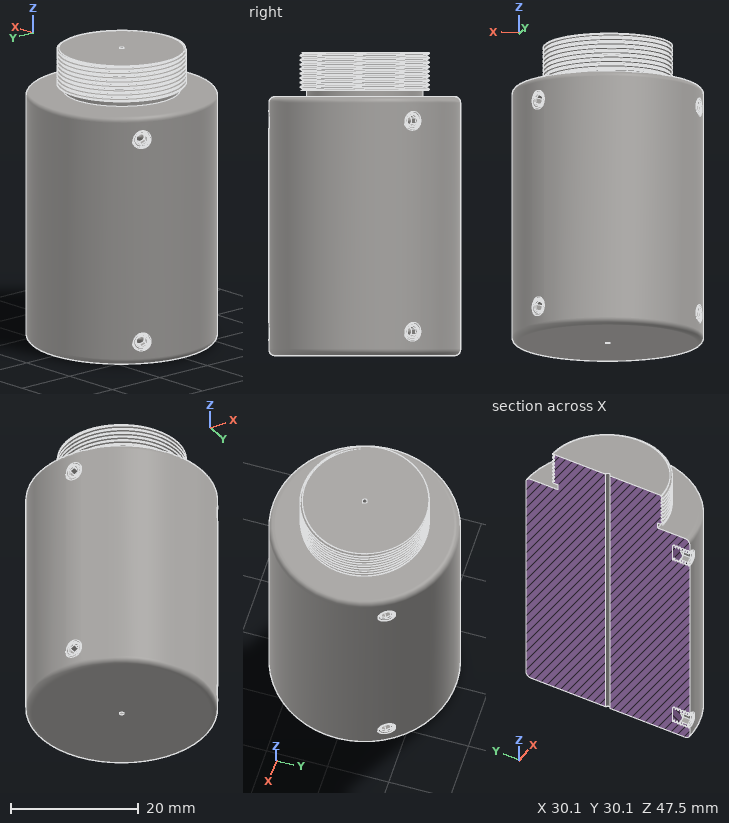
import cadquery as cq
import math

BARREL_DIA = 30.05
BARREL_HEIGHT = 40.6
EDGE_RADIUS = 1.0
BORE_DIA = 0.75

TOTAL_HEIGHT = 47.5
NECK_THREAD_LENGTH = 6.0
NECK_RELIEF_DIA = 18.3
NECK_ROOT_DIA = 19.5
NECK_CREST_DIA = 20.3
NECK_TURNS = 8.5
NECK_PITCH = NECK_THREAD_LENGTH / NECK_TURNS
NECK_CREST_ANGLE = 160.0
NECK_THREAD_Z = TOTAL_HEIGHT - NECK_THREAD_LENGTH

SCREW_ANGLES = (-90.0, 30.0, 150.0)
ROW_OFFSET = 3.8
SCREW_ROWS = (ROW_OFFSET, BARREL_HEIGHT - ROW_OFFSET)
SCREW_LENGTH = 3.0
SCREW_RECESS = 0.2
SCREW_ROOT_DIA = 2.35
SCREW_CREST_DIA = 3.0
SCREW_TURNS = 6
SCREW_PITCH = SCREW_LENGTH / SCREW_TURNS
TAPPED_HOLE_DIA = 2.5
SOCKET_WIDTH = 1.5
SOCKET_DEPTH = 1.5
SOCKET_TURN = 30.0
SOCKET_CONE_HEIGHT = 0.45
COUNTERSINK_DIA = 1.95

CREST_WIDTH_RATIO = 1 / 8
FLANK_ANGLE = math.radians(30)
ROOT_EMBED = 0.05

SCREW_SEAT_RADIUS = BARREL_DIA / 2 - SCREW_RECESS - SCREW_LENGTH


def cylinder(diameter, height, base_z=0.0):
    return cq.Workplane("XY").workplane(offset=base_z).circle(diameter / 2).extrude(height)


def thread_ridge(root_dia, crest_dia, pitch, length, start_z=0.0):
    """Right-handed helical ridge, sunk slightly into its core, that starts at start_z on the +X side."""
    inner = root_dia / 2 - ROOT_EMBED
    crest = crest_dia / 2
    half_crest = pitch * CREST_WIDTH_RATIO / 2
    half_base = half_crest + (crest - inner) * math.tan(FLANK_ANGLE)
    helix = cq.Workplane(cq.Wire.makeHelix(pitch, length, inner))
    profile = cq.Workplane("XZ").polyline([
        (inner, -half_base),
        (crest, -half_crest),
        (crest, half_crest),
        (inner, half_base),
    ]).close()
    return profile.sweep(helix, isFrenet=True).translate((0, 0, start_z))


def threaded_rod(core_dia, root_dia, crest_dia, pitch, length):
    """Core from z = 0 to length with a thread cut off flush with both ends."""
    core = cylinder(core_dia, length + 4 * pitch, -2 * pitch)
    ridge = thread_ridge(root_dia, crest_dia, pitch, length + 2 * pitch, -pitch)
    envelope = cylinder(crest_dia + pitch, length)
    return core.union(ridge).intersect(envelope)


def neck_thread():
    """Threaded end of the neck, turned so that its crest meets the top face at the crest angle."""
    rod = threaded_rod(NECK_ROOT_DIA, NECK_ROOT_DIA, NECK_CREST_DIA, NECK_PITCH, NECK_THREAD_LENGTH)
    turn_angle = NECK_CREST_ANGLE - 360 * NECK_TURNS
    return rod.rotate((0, 0, 0), (0, 0, 1), turn_angle).translate((0, 0, NECK_THREAD_Z))


def place_radially(shape, angle, row_z):
    """Turn a shape built along +Z so that it points outwards at the given angle and height."""
    return (
        shape.translate((0, 0, SCREW_SEAT_RADIUS))
        .rotate((0, 0, 0), (0, 1, 0), 90)
        .rotate((0, 0, 0), (0, 0, 1), angle)
        .translate((0, 0, row_z))
    )


def tapped_hole():
    """Cutter for one blind tapped hole, with its floor at z = 0."""
    depth = SCREW_LENGTH + SCREW_PITCH
    return threaded_rod(TAPPED_HOLE_DIA, SCREW_ROOT_DIA, SCREW_CREST_DIA, SCREW_PITCH, depth)


def make_set_screw():
    """Headless screw along +Z from z = 0, with a countersunk hexagon socket that has a pointed floor."""
    screw = threaded_rod(SCREW_ROOT_DIA, SCREW_ROOT_DIA, SCREW_CREST_DIA, SCREW_PITCH, SCREW_LENGTH)
    floor_z = SCREW_LENGTH - SOCKET_DEPTH
    socket = (
        cq.Workplane("XY").workplane(offset=floor_z)
        .polygon(6, SOCKET_WIDTH, circumscribed=True).extrude(SOCKET_DEPTH)
        .rotate((0, 0, 0), (0, 0, 1), SOCKET_TURN)
    )
    floor_cone = cq.Workplane(
        cq.Solid.makeCone(SOCKET_WIDTH / 2, 0, SOCKET_CONE_HEIGHT)
    ).translate((0, 0, floor_z))
    countersink_radius = COUNTERSINK_DIA / 2
    countersink = cq.Workplane(
        cq.Solid.makeCone(0, countersink_radius, countersink_radius)
    ).translate((0, 0, SCREW_LENGTH - countersink_radius))
    return screw.cut(socket.cut(floor_cone).union(countersink))


def make_housing():
    barrel = cylinder(BARREL_DIA, BARREL_HEIGHT).edges().fillet(EDGE_RADIUS)
    relief = cylinder(NECK_RELIEF_DIA, NECK_THREAD_Z - BARREL_HEIGHT, BARREL_HEIGHT)
    housing = barrel.union(relief).union(neck_thread())
    housing = housing.cut(cylinder(BORE_DIA, TOTAL_HEIGHT))
    hole = tapped_hole()
    for row_z in SCREW_ROWS:
        for angle in SCREW_ANGLES:
            housing = housing.cut(place_radially(hole, angle, row_z))
    return housing


housing = make_housing()
set_screw = make_set_screw()
set_screws = [
    place_radially(set_screw, angle, row_z).solids().val()
    for row_z in SCREW_ROWS
    for angle in SCREW_ANGLES
]
result = cq.Compound.makeCompound([housing.solids().val(), *set_screws])